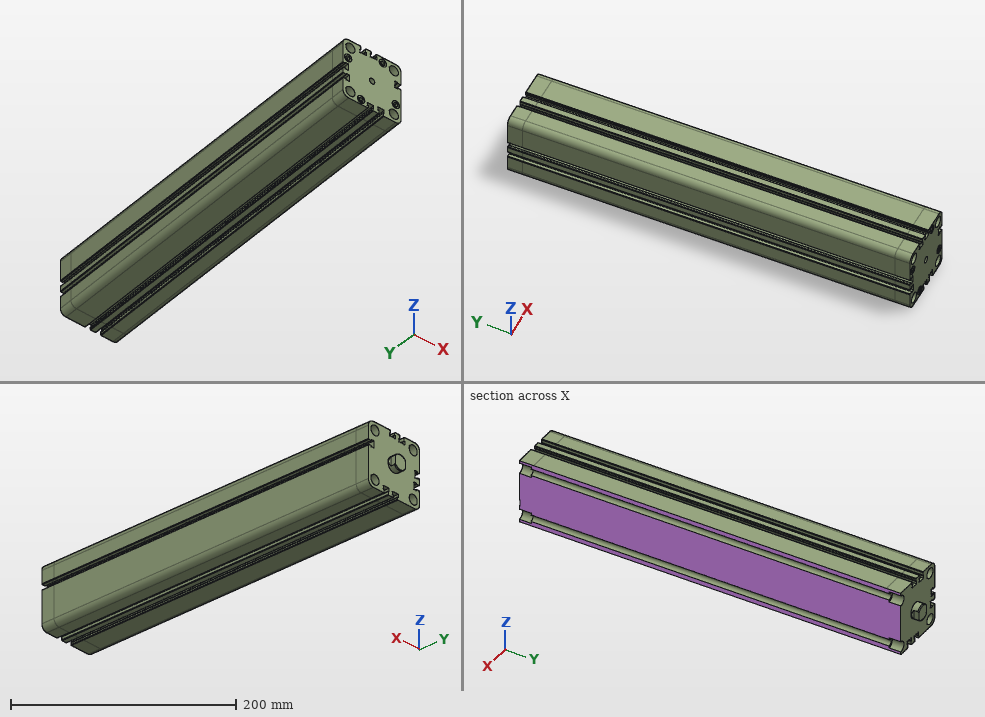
import cadquery as cq

side_count = 4
total_length = 403.0
side = 67.0
half_side = side / 2
corner_radius = 6.5

rod_projection = 7.5
cap_length = 15.0
front_y = -total_length / 2
rod_tip_y = total_length / 2
back_y = rod_tip_y - rod_projection

slot_neck_width = 5.2
slot_inner_width = 7.3
slot_pitch = 12.0
shallow_slot_offset = 1.8
shallow_slot_depth = 6.0
deep_slot_offset = shallow_slot_offset - slot_pitch
deep_slot_depth = 7.3
slot_foot_height = 3.2
slot_mouth_chamfer = 0.6

corner_hole_offset = 25.0
through_hole_diameter = 6.5
counterbore_diameter = 10.5
counterbore_depth = 12.0

screw_along = 12.5
screw_out = 27.5
screw_recess_diameter = 8.0
screw_recess_depth = 0.5
screw_socket_sides = 6
screw_socket_corners = 5.0
screw_socket_depth = 3.2

port_diameter = 6.0
port_depth = 8.0

rod_diameter = 16.0
rod_radius = rod_diameter / 2
rod_flat_width = 13.5
rod_chamfer_length = 1.2
rod_chamfer_width = 0.5
flat_ramp_start = 1.0
flat_start = 2.5


def xz_plane(y):
    """Plane facing +Y at the given Y, with local x along X and local y along -Z."""
    return cq.Workplane(cq.Plane(origin=(0, y, 0), xDir=(1, 0, 0), normal=(0, 1, 0)))


def bar(y_start, length):
    """Square length of the body with rounded long edges."""
    return xz_plane(y_start).rect(side, side).extrude(length).edges("|Y").fillet(corner_radius)


def cylinder(x, z, diameter, y_start, length):
    """Round bar along +Y from y_start, centred at X and Z."""
    return xz_plane(y_start).center(x, -z).circle(diameter / 2).extrude(length)


def quarter_turned(shape, quarter):
    """Shape turned about Y in quarter turns, from the top side to the -X side first."""
    return shape.rotate((0, 0, 0), (0, 1, 0), -90 * quarter)


def t_slot(offset, depth, y_start, length):
    """T-slot with a chamfered mouth in the top side."""
    neck_half = slot_neck_width / 2
    foot_half = slot_inner_width / 2
    floor_z = half_side - depth
    right_side = [
        (foot_half, floor_z),
        (foot_half, floor_z + slot_foot_height),
        (neck_half, floor_z + slot_foot_height),
        (neck_half, half_side - slot_mouth_chamfer),
        (neck_half + slot_mouth_chamfer, half_side),
    ]
    left_side = [(-x, z) for x, z in reversed(right_side)]
    outline = [(offset + x, -z) for x, z in right_side + left_side]
    return xz_plane(y_start).polyline(outline).close().extrude(length)


def slotted_bar(y_start, length):
    """Length of the body with a deep slot in every side and a shallow one in all but +X."""
    section = bar(y_start, length)
    for quarter in range(side_count):
        deep_slot = t_slot(deep_slot_offset, deep_slot_depth, y_start, length)
        section = section.cut(quarter_turned(deep_slot, quarter))
    for quarter in range(side_count - 1):
        shallow_slot = t_slot(shallow_slot_offset, shallow_slot_depth, y_start, length)
        section = section.cut(quarter_turned(shallow_slot, quarter))
    return section


def corner_hole():
    """Hole through the body, counterbored at both ends."""
    x = corner_hole_offset
    z = corner_hole_offset
    through = cylinder(x, z, through_hole_diameter, front_y, back_y - front_y)
    front_bore = cylinder(x, z, counterbore_diameter, front_y, counterbore_depth)
    back_bore = cylinder(x, z, counterbore_diameter, back_y - counterbore_depth, counterbore_depth)
    return through.union(front_bore).union(back_bore)


def screw_recess():
    """Shallow round recess over a screw head, with the hexagon socket pointing at the side."""
    recess = cylinder(screw_along, screw_out, screw_recess_diameter, front_y, screw_recess_depth)
    socket = xz_plane(front_y).center(screw_along, -screw_out).transformed(rotate=(0, 0, 90))
    socket = socket.polygon(screw_socket_sides, screw_socket_corners).extrude(screw_socket_depth)
    return recess.union(socket)


tube_length = back_y - front_y - 2 * cap_length
body = slotted_bar(front_y, cap_length)
body = body.union(slotted_bar(front_y + cap_length, tube_length), clean=False)
body = body.union(slotted_bar(back_y - cap_length, cap_length), clean=False)

for quarter in range(side_count):
    body = body.cut(quarter_turned(corner_hole(), quarter), clean=False)
    body = body.cut(quarter_turned(screw_recess(), quarter), clean=False)

body = body.cut(cylinder(0, 0, port_diameter, front_y, port_depth), clean=False)

rod = cylinder(0, 0, rod_diameter, back_y, rod_projection)
rod = rod.faces(">Y").chamfer(rod_chamfer_length, rod_chamfer_width)
flats = (
    cq.Workplane("XY")
    .moveTo(rod_radius, back_y)
    .lineTo(rod_radius, back_y + flat_ramp_start)
    .lineTo(rod_flat_width / 2, back_y + flat_start)
    .lineTo(rod_flat_width / 2, rod_tip_y)
    .lineTo(0, rod_tip_y)
    .lineTo(0, back_y)
    .close()
    .extrude(rod_radius, both=True)
)
flats = flats.union(flats.mirror("YZ"))
rod = rod.intersect(flats)

result = body.union(rod, clean=False)